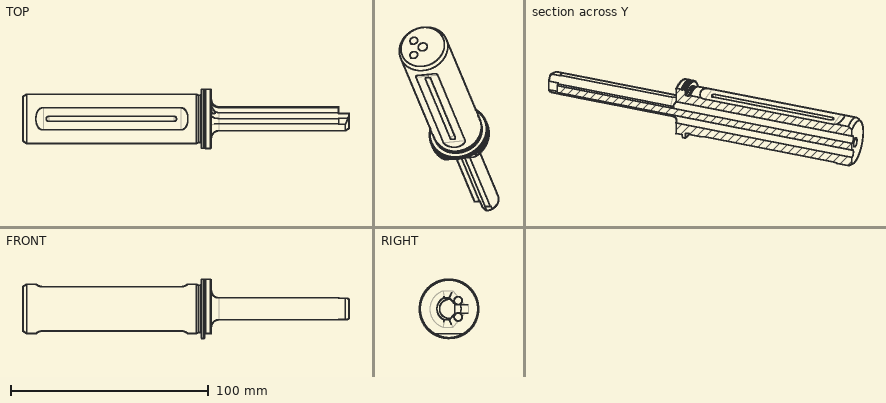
import cadquery as cq
import math

overall_length = 165
neck_start = 87.6
flange_start = 90.1
flange_end = 95.4
tip_start = 159.7

shank_radius = 12.5
end_bevel_length = 2.0
end_bevel_depth = 1.3

neck_radius = 12.0
neck_taper_length = 1.0
neck_corner = 0.3

flange_radius = 15.0
flange_chamfer = 0.5
groove_start = 91.5
groove_width = 1.0
groove_depth = groove_width / 2
groove_middle = groove_start + groove_width / 2
groove_end = groove_start + groove_width

flat_height = 11.2
flat_start = 10.2
flat_end = 79.9
flat_runout_radius = 5.6

slot_start = 11.9
slot_end = 77.7
slot_radius = 1.3

shaft_radius = 6.1
shaft_half_height = 5.6
shaft_fillet = 3.6
flute_top_y = 0.2
flute_floor_y = 3.1

tip_half_height = 5.5
tip_side_y = 2.8

coolant_radius = 2.0
coolant_y = 4.6
coolant_z = 4.1
flute_floor_z = coolant_z - coolant_radius

plug_radius = 2.3
plug_length = 5


def make_turned_body():
    """Shank, neck and grooved flange, turned about the X axis."""
    profile = [
        (0, 0),
        (0, shank_radius - end_bevel_depth),
        (end_bevel_length, shank_radius),
        (neck_start, shank_radius),
        (neck_start + neck_taper_length, neck_radius),
        (flange_start - neck_corner, neck_radius),
        (flange_start, neck_radius + neck_corner),
        (flange_start, flange_radius - flange_chamfer),
        (flange_start + flange_chamfer, flange_radius),
        (groove_start, flange_radius),
        (groove_middle, flange_radius - groove_depth),
        (groove_end, flange_radius),
        (flange_end - flange_chamfer, flange_radius),
        (flange_end, flange_radius - flange_chamfer),
        (flange_end, 0),
    ]
    return cq.Workplane("XY").polyline(profile).close().revolve(360, (0, 0, 0), (1, 0, 0))


def make_flange_flat_cutter():
    """Block below the flange that leaves the ring behind the groove whole."""
    return cq.Workplane("XY").box(
        flange_end - groove_middle, 2 * flange_radius, flange_radius, centered=(False, True, False)
    ).translate((groove_middle, 0, -shank_radius - flange_radius))


def make_shank_flat_cutter():
    """Cutter for the upper shank flat: rounded lower corners form the run-outs."""
    length = flat_end - flat_start + 2 * flat_runout_radius
    return (
        cq.Workplane("XY")
        .box(length, 2 * shank_radius, 2 * flat_runout_radius, centered=(False, True, False))
        .edges("|Y and <Z")
        .fillet(flat_runout_radius)
        .translate((flat_start - flat_runout_radius, 0, flat_height))
    )


def make_slot_cutter():
    """Ball-ended rod whose axis lies in the upper shank flat."""
    profile_start = slot_start + slot_radius
    profile_end = slot_end - slot_radius
    diagonal = slot_radius * math.sqrt(0.5)
    return (
        cq.Workplane("XY")
        .moveTo(slot_start, 0)
        .threePointArc((profile_start - diagonal, diagonal), (profile_start, slot_radius))
        .lineTo(profile_end, slot_radius)
        .threePointArc((profile_end + diagonal, diagonal), (slot_end, 0))
        .close()
        .revolve(360, (0, 0, 0), (1, 0, 0))
        .translate((0, 0, flat_height))
    )


def make_round_shaft():
    """Cylinder that flares into the flange face with a concave radius."""
    flare_end = flange_end + shaft_fillet
    flare_radius = shaft_radius + shaft_fillet
    arc_drop = shaft_fillet * math.sqrt(0.5)
    return (
        cq.Workplane("XY")
        .moveTo(flange_end, 0)
        .lineTo(flange_end, flare_radius)
        .threePointArc((flare_end - arc_drop, flare_radius - arc_drop), (flare_end, shaft_radius))
        .lineTo(overall_length, shaft_radius)
        .lineTo(overall_length, 0)
        .close()
        .revolve(360, (0, 0, 0), (1, 0, 0))
    )


def make_shaft_flat_cutter():
    """Block above the upper shaft flat, rounded where the flat meets the flange."""
    length = overall_length - flange_end
    width = 2 * (shaft_radius + shaft_fillet)
    block = cq.Workplane("XY").box(length, width, width, centered=(False, True, False))
    return block.edges("<X and <Z").fillet(shaft_fillet).translate((flange_end, 0, shaft_half_height))


def make_flute_cutter():
    """Prism for the upper flute: level floor and sloping wall, the wall rounded at the flange."""
    slope = (shaft_half_height - flute_floor_z) / (flute_floor_y - flute_top_y)
    outer = shaft_radius + shaft_fillet
    section = [
        (flute_top_y - (outer - shaft_half_height) / slope, outer),
        (flute_floor_y, flute_floor_z),
        (outer, flute_floor_z),
        (outer, outer),
    ]
    prism = (
        cq.Workplane("YZ")
        .workplane(offset=flange_end)
        .polyline(section)
        .close()
        .extrude(overall_length - flange_end)
    )
    wall_end = prism.faces("<X").edges("not(>Y or >Z)").edges(">Z")
    return wall_end.fillet(shaft_fillet)


def cut_tip(body):
    """Step the tip down in height, cut away its +Y side and bevel its end."""
    tip_length = overall_length - tip_start
    stock = cq.Workplane("YZ").workplane(offset=tip_start).rect(
        2 * flange_radius, 2 * flange_radius
    ).extrude(tip_length)
    tip = cq.Workplane("XY").box(
        tip_length, tip_side_y + shaft_radius, 2 * tip_half_height, centered=(False, False, True)
    ).translate((tip_start, -shaft_radius, 0))
    bevelled = cq.Workplane("XY").polyline([
        (tip_start, 0),
        (tip_start, shaft_radius),
        (overall_length - end_bevel_length, shaft_radius),
        (overall_length, shaft_radius - end_bevel_depth),
        (overall_length, 0),
    ]).close().revolve(360, (0, 0, 0), (1, 0, 0))
    return body.cut(stock.cut(tip.intersect(bevelled)))


def make_tool():
    """The whole drill body, with an open pocket for the plug."""
    shaft = make_round_shaft()
    for cutter in (make_shaft_flat_cutter(), make_flute_cutter()):
        shaft = shaft.cut(cutter).cut(cutter.mirror("XY"))
    tool = make_turned_body().cut(make_flange_flat_cutter()).union(shaft)
    tool = cut_tip(tool)
    for cutter in (make_shank_flat_cutter(), make_slot_cutter()):
        tool = tool.cut(cutter).cut(cutter.mirror("XY"))
    holes = (
        cq.Workplane("YZ")
        .pushPoints([(coolant_y, coolant_z), (coolant_y, -coolant_z)])
        .circle(coolant_radius)
        .extrude(overall_length)
    )
    return tool.cut(holes).cut(make_plug())


def make_plug():
    """Round plug, flush with the rear face."""
    return cq.Workplane("YZ").circle(plug_radius).extrude(plug_length)


tool = make_tool()
plug = make_plug()
result = cq.Compound.makeCompound([tool.val(), plug.val()])